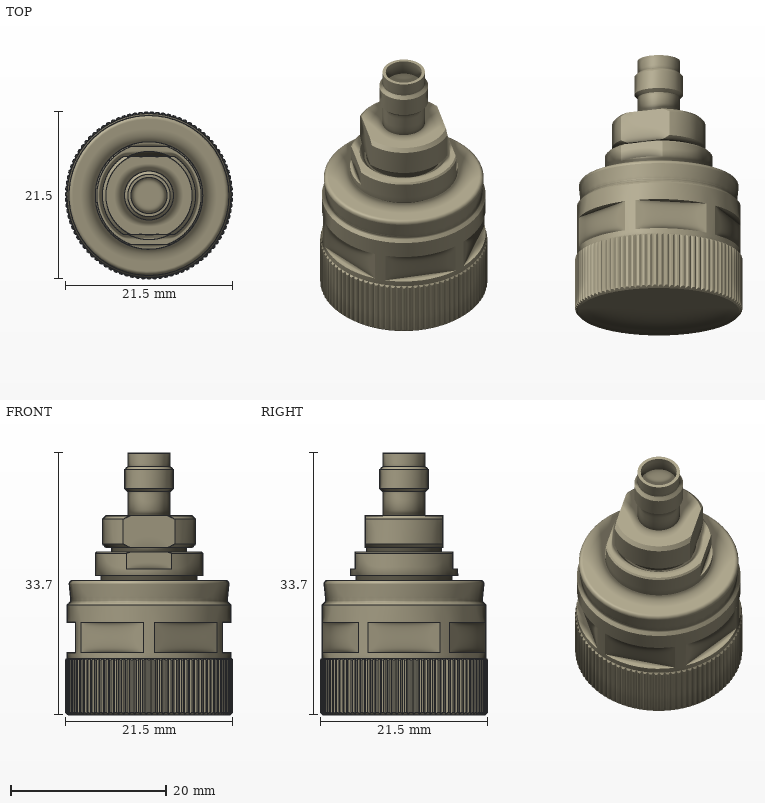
import cadquery as cq
import math

total_height = 33.71
stub_radius = 2.73
stub_bore_radius = 2.32
stub_bore_depth = 1.95
stub_collar_radius = 3.15
stub_collar_bevel = stub_collar_radius - stub_radius
stub_collar_bottom = 28.73
stub_collar_top = 31.98

nut_radius = 6.0
nut_across_flats = 10.0
nut_bevel = 0.45
nut_bottom = 21.55
nut_top = 25.65
neck_radius = 4.83

recess_radius = 5.68
recess_depth = 0.6
recess_floor_radius = recess_radius - recess_depth

flange_radius = 6.92
flange_across_flats = 12.6
flange_bevel = 0.2
flange_bottom = 17.93
flange_top = 21.0
flange_flat_bottom = 18.8
lower_neck_radius = 6.2

body_radius = 10.55
body_bevel = 0.31
shoulder_z = 14.15
head_top = 17.34
head_radius = 10.29
head_top_round = 0.5
waist_radius = 10.1
waist_top = 14.93
waist_bottom = 14.8
waist_round_sag = 0.06

wrench_flat_count = 6
wrench_across_flats = 18.94
wrench_flat_bottom = 8.02
wrench_flat_top = 11.93

grip_radius = 10.75
grip_top = 7.29
grip_top_bevel = grip_radius - body_radius
grip_bottom_bevel = 0.35
groove_count = 91
groove_root_radius = 10.53
groove_width = 0.5


def turned_profile():
    """Half section in the XZ plane, revolved about Z."""
    bevel_top = shoulder_z + body_bevel
    bevel_top_radius = body_radius - body_bevel
    round_start = cq.Vector(waist_radius, waist_bottom)
    round_end = cq.Vector(bevel_top_radius, bevel_top)
    chord = round_end - round_start
    inward = cq.Vector(chord.y, -chord.x).normalized() * waist_round_sag
    round_middle = (round_start + round_end) * 0.5 + inward

    head_round_start = head_top - head_top_round
    diagonal = head_top_round * math.sqrt(0.5)
    head_round_middle = (
        head_radius - head_top_round + diagonal,
        head_round_start + diagonal,
    )

    return (
        cq.Workplane("XZ")
        .moveTo(0, 0)
        .lineTo(grip_radius - grip_bottom_bevel, 0)
        .lineTo(grip_radius, grip_bottom_bevel)
        .lineTo(grip_radius, grip_top - grip_top_bevel)
        .lineTo(body_radius, grip_top)
        .lineTo(body_radius, shoulder_z)
        .lineTo(bevel_top_radius, bevel_top)
        .threePointArc((round_middle.x, round_middle.y), (waist_radius, waist_bottom))
        .lineTo(waist_radius, waist_top)
        .lineTo(head_radius, head_round_start)
        .threePointArc(head_round_middle, (head_radius - head_top_round, head_top))
        .lineTo(lower_neck_radius, head_top)
        .lineTo(lower_neck_radius, flange_bottom)
        .lineTo(flange_radius, flange_bottom)
        .lineTo(flange_radius, flange_top - flange_bevel)
        .lineTo(flange_radius - flange_bevel, flange_top)
        .lineTo(recess_radius, flange_top)
        .lineTo(recess_floor_radius, flange_top - recess_depth)
        .lineTo(neck_radius, flange_top - recess_depth)
        .lineTo(neck_radius, nut_bottom)
        .lineTo(nut_radius - nut_bevel, nut_bottom)
        .lineTo(nut_radius, nut_bottom + nut_bevel)
        .lineTo(nut_radius, nut_top - nut_bevel)
        .lineTo(nut_radius - nut_bevel, nut_top)
        .lineTo(stub_radius, nut_top)
        .lineTo(stub_radius, stub_collar_bottom)
        .lineTo(stub_collar_radius, stub_collar_bottom + stub_collar_bevel)
        .lineTo(stub_collar_radius, stub_collar_top - stub_collar_bevel)
        .lineTo(stub_radius, stub_collar_top)
        .lineTo(stub_radius, total_height)
        .lineTo(0, total_height)
        .close()
    )


def flat_cutter(across_flats, radius, bottom, top, angle):
    """Block that removes everything beyond one flat; angle 0 faces +X."""
    apothem = across_flats / 2
    return (
        cq.Workplane("XY")
        .box(radius, 2 * radius, top - bottom, centered=(False, True, False))
        .translate((apothem, 0, bottom))
        .rotate((0, 0, 0), (0, 0, 1), angle)
    )


def cut_flats(part, across_flats, radius, bottom, top, angles):
    for angle in angles:
        part = part.cut(flat_cutter(across_flats, radius, bottom, top, angle))
    return part


def knurl_grooves():
    """Ring of V-shaped grooves, the first one facing +Y."""
    groove_depth = grip_radius - groove_root_radius
    overshoot = 2.0
    mouth_width = groove_width * overshoot
    mouth_radius = groove_root_radius + groove_depth * overshoot
    groove = (
        cq.Workplane("XY")
        .moveTo(0, groove_root_radius)
        .lineTo(mouth_width / 2, mouth_radius)
        .lineTo(-mouth_width / 2, mouth_radius)
        .close()
        .extrude(grip_top)
        .val()
    )
    pitch = 360 / groove_count
    return [
        groove.rotate(cq.Vector(0, 0, 0), cq.Vector(0, 0, 1), index * pitch)
        for index in range(groove_count)
    ]


def stub_bore():
    return (
        cq.Workplane("XY")
        .workplane(offset=total_height - stub_bore_depth)
        .circle(stub_bore_radius)
        .extrude(stub_bore_depth)
    )


front_and_back = (90, 270)
wrench_angles = [index * 360 / wrench_flat_count for index in range(wrench_flat_count)]

part = turned_profile().revolve(360, (0, 0, 0), (0, 1, 0))
part = part.cut(stub_bore())
part = cut_flats(part, nut_across_flats, nut_radius, nut_bottom, nut_top, front_and_back)
part = cut_flats(
    part, flange_across_flats, flange_radius, flange_flat_bottom, flange_top, front_and_back
)
part = cut_flats(
    part, wrench_across_flats, body_radius, wrench_flat_bottom, wrench_flat_top, wrench_angles
)
result = cq.Workplane("XY").newObject([part.val().cut(*knurl_grooves())])